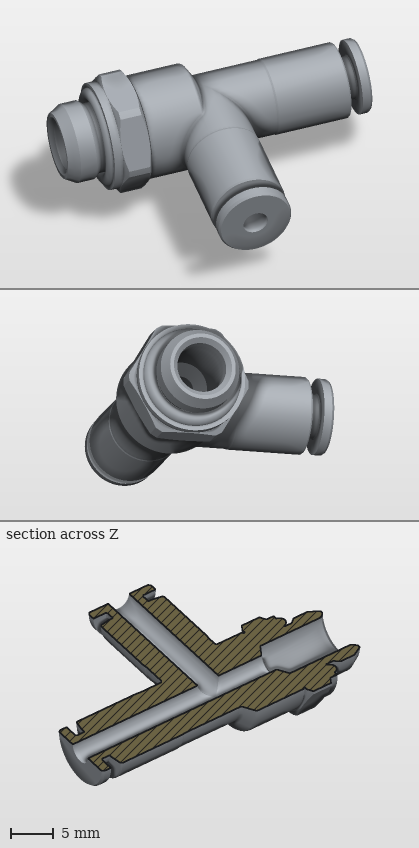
import cadquery as cq
import math


length = 37.6
branch_y = 18.0
arm_reach = length - branch_y

tolerance = 0.0005

stud_radius = 4.78
stud_end_radius = 4.0
stud_chamfer_top = 1.35
stud_top = 3.35
neck_radius = 4.2
neck_start = 4.02

ring_bottom = 4.32
ring_radius = 5.95
ring_section_radius = 0.83
collar_bottom = 5.0
collar_radius = 6.45

hex_bottom = 6.05
hex_top = 9.5
hex_flats = 13.0
hex_corner_radius = 7.25
hex_sides = 6
hex_half_angle = math.pi / hex_sides
hex_chamfer_angle = math.radians(30)

arm_radius = 4.5

groove_radius = 6.05
body_bottom = 9.65
body_radius = 6.25
shoulder_start = 16.55
shoulder_angle = math.radians(30)
shoulder_end = shoulder_start + (body_radius - arm_radius) * math.tan(shoulder_angle)
shoulder_fillet = 0.45
junction_fillet = 0.3

sleeve_radius = 4.6
sleeve_start = 7.8
sleeve_step = 0.23
sleeve_end = 16.77
sleeve_chamfer = 0.2
crown_edge_radius = 4.45
crown_height = 0.23
crown_radius = 3.0
stem_radius = 2.6
stem_chamfer = 0.15
flange_radius = 4.5
flange_thickness = 1.25
flange_chamfer_length = 0.3
flange_chamfer_depth = 0.23

bore_radius = 1.5
stud_bore_radius = 2.97
stud_bore_depth = 9.4
drill_half_angle = math.radians(59)
mouth_radius = 3.55


def revolved(points):
    """Turn (radius, y) points, closed along the axis, around the Y axis, seam on the -X side."""
    first_y = points[0][1]
    last_y = points[-1][1]
    outline = [(0, first_y), *((-radius, y) for radius, y in points), (0, last_y)]
    return cq.Workplane("XY").polyline(outline).close().revolve(360, (0, 0), (0, 1))


def make_stud():
    return revolved([
        (stud_end_radius, 0),
        (stud_radius, stud_chamfer_top),
        (stud_radius, stud_top),
        (neck_radius, neck_start),
        (neck_radius, collar_bottom),
        (collar_radius, collar_bottom),
        (collar_radius, hex_bottom),
        (groove_radius, hex_bottom),
        (groove_radius, body_bottom),
    ])


def make_seal_ring():
    """O-ring seated against the collar, its upper part sunk into the collar face."""
    centre_radius = ring_radius - ring_section_radius
    section = cq.Workplane("XY").moveTo(-centre_radius, ring_bottom + ring_section_radius)
    return section.circle(ring_section_radius).revolve(360, (0, 0), (0, 1))


def make_hex():
    across_corners = hex_flats / math.cos(hex_half_angle)
    prism = (
        cq.Workplane("XZ", origin=(0, hex_bottom, 0))
        .polygon(hex_sides, across_corners)
        .extrude(hex_bottom - hex_top)
    )
    chamfer = (hex_corner_radius - hex_flats / 2) * math.tan(hex_chamfer_angle)
    envelope = revolved([
        (hex_flats / 2, hex_bottom),
        (hex_corner_radius, hex_bottom + chamfer),
        (hex_corner_radius, hex_top - chamfer),
        (hex_flats / 2, hex_top),
    ])
    return prism.intersect(envelope)


def make_core():
    """Large body, conical shoulder and plain arm along Y, with the shoulder's outer edge rounded."""
    core = revolved([
        (body_radius, body_bottom),
        (body_radius, shoulder_start),
        (arm_radius, shoulder_end),
        (arm_radius, branch_y + sleeve_start),
    ])
    low = (-length, shoulder_start - tolerance, -length)
    high = (length, shoulder_start + tolerance, length)
    return core.edges(cq.selectors.BoxSelector(low, high)).fillet(shoulder_fillet)


def make_branch():
    return cq.Workplane("YZ", origin=(0, branch_y, 0)).circle(arm_radius).extrude(sleeve_start)


def lies_on_branch(edge):
    """True for an edge in the branch's round surface that leaves the XY plane."""
    points = [edge.positionAt(fraction) for fraction in (0.3, 0.7)]
    return all(
        abs(math.hypot(point.y - branch_y, point.z) - arm_radius) < tolerance and point.z > tolerance
        for point in points
    )


def make_junction():
    """Core and branch with a rounded crease, blended on one quarter and mirrored across XY."""
    quarter = cq.Workplane("XY").box(length, length, length, centered=False)
    joined = make_core().union(make_branch()).intersect(quarter)
    creases = [
        edge
        for edge in joined.edges("not(%LINE or %CIRCLE)").vals()
        if lies_on_branch(edge) and not shoulder_end < edge.positionAt(0.5).y < branch_y
    ]
    blended = cq.Workplane(joined.val().fillet(junction_fillet, creases))
    return blended.union(blended.mirror("XY"))


def make_body():
    """Round body and arm with both shoulder edges rounded, joined to the blended branch."""
    turn = math.pi / 2 - shoulder_angle
    setback = shoulder_fillet * math.tan(turn / 2)
    cone_run = setback * math.cos(shoulder_angle)
    cone_rise = setback * math.sin(shoulder_angle)
    middle_inset = shoulder_fillet * (1 - math.cos(turn / 2))
    middle_rise = shoulder_fillet * math.sin(turn / 2)
    edge_start = shoulder_start - setback
    root_end = shoulder_end + setback
    arm_end = branch_y + sleeve_start
    profile = (
        cq.Workplane("XY")
        .moveTo(0, body_bottom)
        .lineTo(-body_radius, body_bottom)
        .lineTo(-body_radius, edge_start)
        .threePointArc(
            (-body_radius + middle_inset, edge_start + middle_rise),
            (-body_radius + cone_run, shoulder_start + cone_rise),
        )
        .lineTo(-arm_radius - cone_run, shoulder_end - cone_rise)
        .threePointArc(
            (-arm_radius - middle_inset, root_end - middle_rise),
            (-arm_radius, root_end),
        )
        .lineTo(-arm_radius, arm_end)
        .lineTo(0, arm_end)
        .close()
    )
    return profile.revolve(360, (0, 0), (0, 1)).union(make_junction())


def make_port():
    """Sleeve and release collar of one arm, built along +Y from the axes' crossing."""
    flange_bottom = arm_reach - flange_thickness
    crown_start = sleeve_end + sleeve_chamfer
    crown_end = crown_start + crown_height
    return revolved([
        (arm_radius, sleeve_start),
        (sleeve_radius, sleeve_start + sleeve_step),
        (sleeve_radius, sleeve_end),
        (crown_edge_radius, crown_start),
        (crown_radius, crown_end),
        (stem_radius, crown_end),
        (stem_radius, flange_bottom - stem_chamfer),
        (stem_radius + stem_chamfer, flange_bottom),
        (flange_radius, flange_bottom),
        (flange_radius, arm_reach - flange_chamfer_length),
        (flange_radius - flange_chamfer_depth, arm_reach),
    ])


def make_bores():
    mouth_depth = mouth_radius - stud_bore_radius
    cone_depth = (stud_bore_radius - bore_radius) / math.tan(drill_half_angle)
    main_bore = revolved([
        (mouth_radius, 0),
        (stud_bore_radius, mouth_depth),
        (stud_bore_radius, stud_bore_depth),
        (bore_radius, stud_bore_depth + cone_depth),
        (bore_radius, length),
    ])
    branch_bore = cq.Workplane("YZ", origin=(0, branch_y, 0)).circle(bore_radius).extrude(arm_reach)
    return main_bore.union(branch_bore)


port = make_port()
main_port = port.translate((0, branch_y, 0))
branch_port = port.rotate((0, 0, 0), (0, 0, 1), -90).translate((0, branch_y, 0))

result = (
    make_stud()
    .union(make_seal_ring())
    .union(make_hex())
    .union(make_body())
    .union(main_port)
    .union(branch_port)
    .cut(make_bores())
)